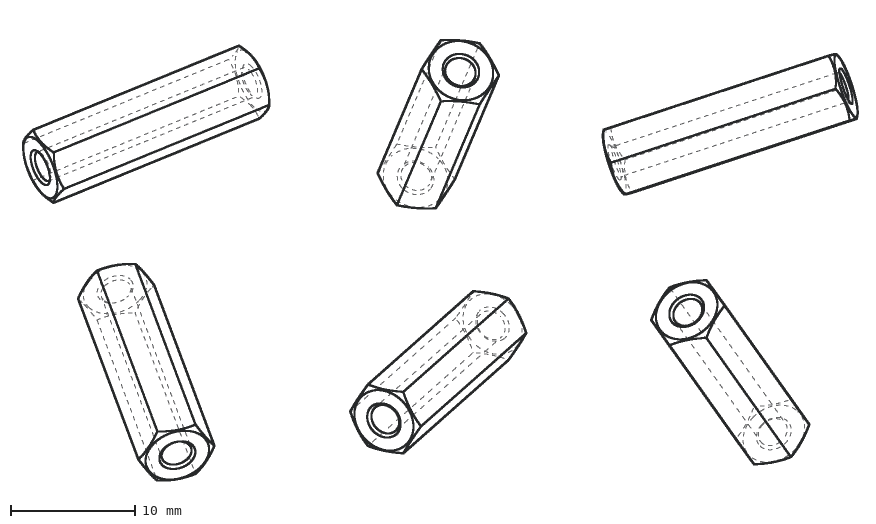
import cadquery as cq
import math

length = 20.0
across_flats = 5.5
bore_diameter = 2.5
countersink_diameter = 3.0
end_face_diameter = 5.3
end_chamfer_angle = 30.0

across_corners = across_flats / math.cos(math.radians(30))
corner_radius = across_corners / 2
end_face_radius = end_face_diameter / 2
end_chamfer_length = (corner_radius - end_face_radius) * math.tan(math.radians(end_chamfer_angle))
bore_radius = bore_diameter / 2
countersink_radius = countersink_diameter / 2
countersink_depth = countersink_radius - bore_radius
half_length = length / 2


def make_hex_bar():
    """Hexagonal bar centred on the origin, with corners on the X axis."""
    return cq.Workplane("XZ").polygon(6, across_corners).extrude(half_length, both=True)


def make_turned_envelope():
    """Revolved body that rounds the hexagon corners and holds the countersunk bore."""
    bore_end = half_length - countersink_depth
    chamfer_end = half_length - end_chamfer_length
    profile = [
        (bore_radius, -bore_end),
        (countersink_radius, -half_length),
        (end_face_radius, -half_length),
        (corner_radius, -chamfer_end),
        (corner_radius, chamfer_end),
        (end_face_radius, half_length),
        (countersink_radius, half_length),
        (bore_radius, bore_end),
    ]
    return cq.Workplane("XY").polyline(profile).close().revolve(360, (0, 0), (0, 1))


result = make_hex_bar().intersect(make_turned_envelope())